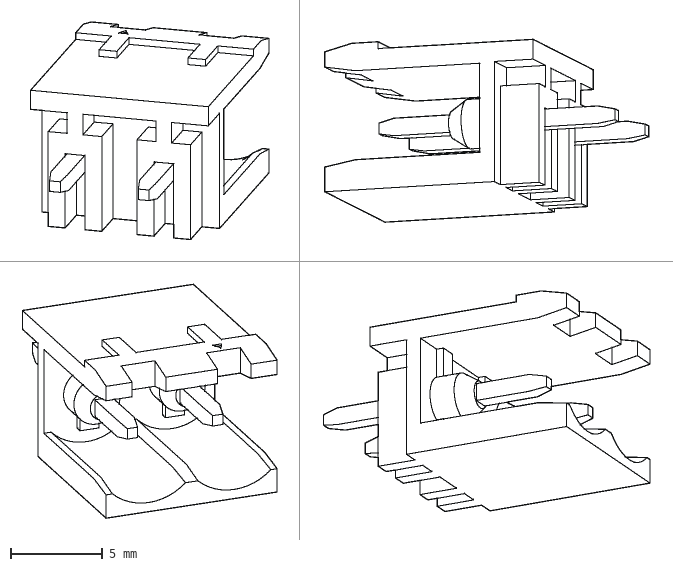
import cadquery as cq


body_width = 10.16
body_depth = 12.1
half_width = body_width / 2
plate_top = 7.81
plate_bottom = 6.7
mouth_floor = 1.69
mouth_ceiling = 6.65
mouth_lead_in = 1.79
lead_in_rise = 0.3
wall_rear = 2.25
wall_front = 3.1

ridge_top = 8.2
ridge_front = 10.53
ridge_rear = 9.0
stem_rear = 6.58

pin_pitch = 5.07
pin_xs = (-pin_pitch / 2, pin_pitch / 2)
pin_axis_z = 3.77
pin_width = 1.01
pin_height = 0.98
pin_tip_size = 0.61
pin_taper = 0.95
pin_rear = -4.0
pin_front = 9.72

collar_radius = 1.37
collar_tip_radius = 0.77
collar_shoulder = 4.59
collar_front = 5.52
rib_front = 3.53
rib_width = 1.13

block_width = 3.06
block_top = 5.5
neck_width = 0.9
slot_width = 1.13
slot_top = 4.31

notch_width = 2.0
groove_radius = 2.96
groove_mouth_radius = 3.22

mark_width = 0.53
mark_rear = 9.61
mark_front = 10.13
mark_depth = 0.1


def box(x_center, width, y_range, z_range):
    """Block centred on x_center, spanning the given Y and Z ranges."""
    depth = y_range[1] - y_range[0]
    height = z_range[1] - z_range[0]
    return (
        cq.Workplane("XY")
        .box(width, depth, height, centered=(True, False, False))
        .translate((x_center, y_range[0], z_range[0]))
    )


def revolve_about_pin(x, profile):
    """Solid of revolution about a pin axis from (radius, y) points."""
    solid = cq.Workplane("XY").polyline(profile).close().revolve(360, (0, 0), (0, 1))
    return solid.translate((x, 0, pin_axis_z))


def housing():
    """C-shaped side profile extruded across the full width."""
    lead_in_start = body_depth - mouth_lead_in
    profile = [
        (wall_rear, 0),
        (body_depth, 0),
        (body_depth, mouth_floor - lead_in_rise),
        (lead_in_start, mouth_floor),
        (wall_front, mouth_floor),
        (wall_front, mouth_ceiling),
        (lead_in_start, mouth_ceiling),
        (body_depth, mouth_ceiling + lead_in_rise),
        (body_depth, plate_top),
        (ridge_front, ridge_top),
        (ridge_rear, ridge_top),
        (ridge_rear, plate_top),
        (0, plate_top),
        (0, plate_bottom),
        (wall_rear, plate_bottom),
    ]
    return cq.Workplane("YZ").polyline(profile).close().extrude(half_width, both=True)


def rear_block(x):
    """T-shaped support under the plate, split by a slot below the pin."""
    block = box(x, block_width, (0, wall_rear), (0, block_top))
    neck = box(x, neck_width, (0, wall_rear), (block_top, plate_bottom))
    slot = box(x, slot_width, (0, wall_rear), (0, slot_top))
    return block.union(neck).cut(slot)


def pin_end(x, shoulder_y, tip_y):
    """Tapered pin end from the full section at shoulder_y down to the tip."""
    length = abs(tip_y - shoulder_y)
    taper = (
        cq.Workplane("XZ")
        .rect(pin_width, pin_height)
        .workplane(offset=length)
        .rect(pin_tip_size, pin_tip_size)
        .loft()
    )
    if tip_y > shoulder_y:
        taper = taper.rotate((0, 0, 0), (0, 0, 1), 180)
    return taper.translate((x, shoulder_y, pin_axis_z))


def pin(x):
    """Square pin tapered at both ends."""
    rear_shoulder = pin_rear + pin_taper
    front_shoulder = pin_front - pin_taper
    z_range = (pin_axis_z - pin_height / 2, pin_axis_z + pin_height / 2)
    shank = box(x, pin_width, (rear_shoulder, front_shoulder), z_range)
    rear_end = pin_end(x, rear_shoulder, pin_rear)
    front_end = pin_end(x, front_shoulder, pin_front)
    return shank.union(rear_end).union(front_end)


def collar(x):
    """Round collar with a conical nose where the pin leaves the wall."""
    return revolve_about_pin(
        x,
        [
            (0, wall_rear),
            (collar_radius, wall_rear),
            (collar_radius, collar_shoulder),
            (collar_tip_radius, collar_front),
            (0, collar_front),
        ],
    )


def plug_groove(x):
    """Half-round groove in the lower shelf, flared at the mouth."""
    groove = revolve_about_pin(
        x,
        [
            (0, wall_front),
            (groove_radius, wall_front),
            (groove_radius, body_depth - mouth_lead_in),
            (groove_mouth_radius, body_depth),
            (0, body_depth),
        ],
    )
    lower_half = box(x, 2 * groove_mouth_radius, (wall_front, body_depth), (0, pin_axis_z))
    return groove.intersect(lower_half)


def pin_one_mark():
    """Shallow triangle sunk into the ridge above the first pin."""
    x = pin_xs[0]
    corners = [
        (x - mark_width / 2, mark_rear),
        (x + mark_width / 2, mark_rear),
        (x, mark_front),
    ]
    return cq.Workplane("XY", origin=(0, 0, ridge_top)).polyline(corners).close().extrude(-mark_depth)


result = housing()
for pin_x in pin_xs:
    notch = box(pin_x, notch_width, (ridge_front, body_depth), (mouth_ceiling, ridge_top))
    result = result.cut(plug_groove(pin_x)).cut(notch)
for pin_x in pin_xs:
    stem = box(pin_x, pin_width, (stem_rear, ridge_rear), (plate_top, ridge_top))
    rib = box(pin_x, rib_width, (wall_front, rib_front), (mouth_floor, mouth_ceiling))
    for feature in (stem, rib, rear_block(pin_x), collar(pin_x), pin(pin_x)):
        result = result.union(feature)
result = result.cut(pin_one_mark())